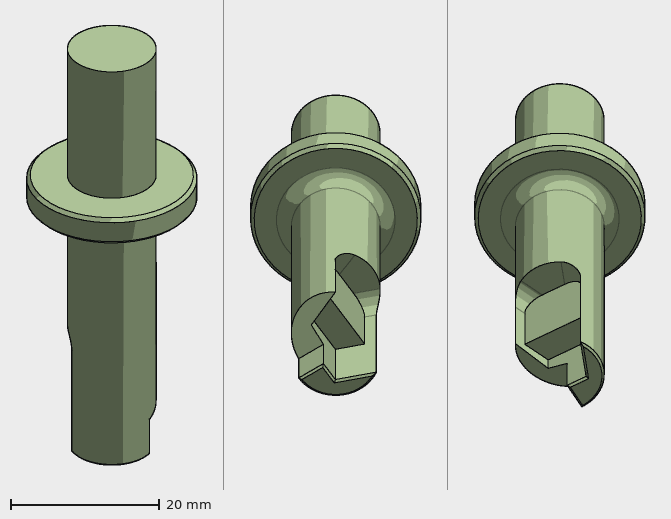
import cadquery as cq

TOTAL_HEIGHT = 62.5
SHANK_RADIUS = 12.0 / 2
FLANGE_RADIUS = 23.0 / 2
FLANGE_TOP = 42.5
FLANGE_THICKNESS = 4.0
FLANGE_BOTTOM = FLANGE_TOP - FLANGE_THICKNESS
NECK_FILLET = 2.0
FLANGE_CHAMFER = 0.5
END_CHAMFER = 0.3

CHANNEL_TOP = 18.8
CHANNEL_FLOOR_X = 2.0
CHANNEL_FLOOR_HALF_WIDTH = 2.95
CHANNEL_WALL_SLOPE = 0.4
CHANNEL_CORNER_RADIUS = 2.5

INSERT_FACE_X = -1.75
INSERT_BOTTOM = 8.75

CUT_INNER_HEIGHT = 5.7
CUT_OUTER_HEIGHT = 7.7

CLEARANCE = 3.1


def channel_half_width(x):
    return CHANNEL_FLOOR_HALF_WIDTH + (CHANNEL_FLOOR_X - x) * CHANNEL_WALL_SLOPE


def tapered_block(mouth_x, bottom_z):
    """Block filling the channel from its floor to mouth_x, with rounded upper side edges."""
    mouth_half_width = channel_half_width(mouth_x)
    return (
        cq.Workplane("XY", origin=(0, 0, bottom_z))
        .polyline([
            (CHANNEL_FLOOR_X, -CHANNEL_FLOOR_HALF_WIDTH),
            (CHANNEL_FLOOR_X, CHANNEL_FLOOR_HALF_WIDTH),
            (mouth_x, mouth_half_width),
            (mouth_x, -mouth_half_width),
        ])
        .close()
        .extrude(CHANNEL_TOP - bottom_z)
        .faces(">Z")
        .edges("not |Y")
        .fillet(CHANNEL_CORNER_RADIUS)
    )


def make_turned_blank():
    """Shank, flange and filleted neck."""
    shank = cq.Workplane("XY").circle(SHANK_RADIUS).extrude(TOTAL_HEIGHT)
    flange = (
        cq.Workplane("XY", origin=(0, 0, FLANGE_BOTTOM))
        .circle(FLANGE_RADIUS)
        .extrude(FLANGE_THICKNESS)
        .edges()
        .chamfer(FLANGE_CHAMFER)
    )
    neck_center = (SHANK_RADIUS + NECK_FILLET, FLANGE_BOTTOM - NECK_FILLET)
    neck = (
        cq.Workplane("XZ")
        .moveTo(0, neck_center[1])
        .lineTo(SHANK_RADIUS, neck_center[1])
        .radiusArc((neck_center[0], FLANGE_BOTTOM), NECK_FILLET)
        .lineTo(0, FLANGE_BOTTOM)
        .close()
        .revolve(360, (0, 0, 0), (0, 1, 0))
    )
    return shank.union(flange).union(neck)


def make_end_cut():
    """Prism that removes the lower +Y half of the shank."""
    slope = (CUT_OUTER_HEIGHT - CUT_INNER_HEIGHT) / SHANK_RADIUS
    outer_y = SHANK_RADIUS + CLEARANCE
    return (
        cq.Workplane("YZ")
        .polyline([
            (0, -CLEARANCE),
            (0, CUT_INNER_HEIGHT),
            (outer_y, CUT_INNER_HEIGHT + slope * outer_y),
            (outer_y, -CLEARANCE),
        ])
        .close()
        .extrude(SHANK_RADIUS + CLEARANCE, both=True)
    )


def make_holder():
    channel = tapered_block(-SHANK_RADIUS - CLEARANCE, -CLEARANCE)
    holder_body = make_turned_blank().cut(channel).cut(make_end_cut())
    return holder_body.faces("<Z").chamfer(END_CHAMFER)


def make_insert():
    return tapered_block(INSERT_FACE_X, INSERT_BOTTOM)


holder = make_holder()
insert = make_insert()

result = cq.Compound.makeCompound([holder.val(), insert.val()])